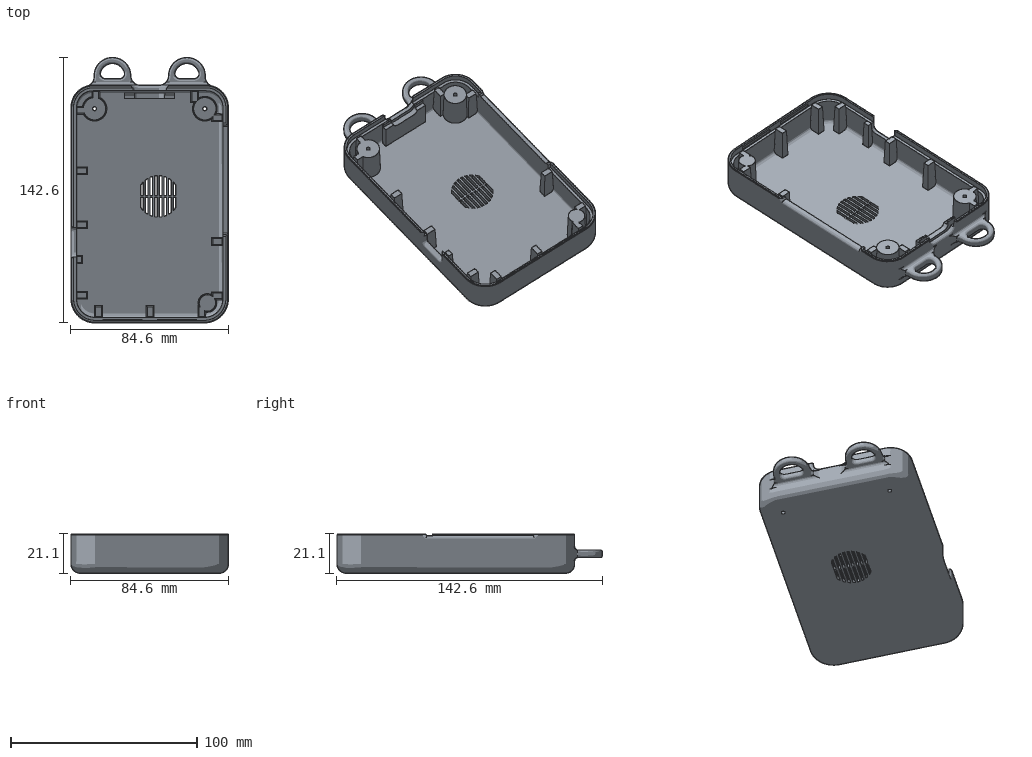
import cadquery as cq
import math

WIDTH = 84.6
LENGTH = 127.7
OVERALL_LENGTH = 142.59
HEIGHT = 21.1
FRONT_CORNER_RADIUS = 13.0
BACK_CORNER_RADIUS = 12.0
BOTTOM_RADIUS = 5.0
WALL = 3.0
FLOOR = 3.0
LIP_THICKNESS = 1.4
LIP_HEIGHT = 3.4
RIM_CHAMFER = 0.4
LEDGE_Z = HEIGHT - LIP_HEIGHT
INNER_X = WIDTH / 2 - WALL
INNER_Y = LENGTH / 2 - WALL
OVERCUT = 5.0
SELECT_MARGIN = 0.1

FLARE = 1.7
PORT_WIDTH = 15.9
PORT_Y = -20.5
PORT_DEPTH = 8.6
PORT_CORNER_RADIUS = 2.3
NOTCH_Y_MIN = -15.5
NOTCH_Y_MAX = 41.6
NOTCH_DEPTH = 0.9
NOTCH_BLOCK_MARGIN = 2.0
TROUGH_FLAT = 10.3
TROUGH_Z = 15.5
WALL_TROUGH_RADIUS = 4.4
PANEL_TROUGH_RADIUS = 3.0

PANEL_WIDTH = 26.9
PANEL_Y_FRONT = 56.6
PANEL_THICKNESS = 3.0
PANEL_BACK_THICKNESS = 0.9

DRAFT_ANGLE = 2.0
RIB_WIDTH = 4.2
RIB_ROOT = 0.2
SIDE_RIB_LENGTH = 6.0
SHORT_RIB_LENGTH = 3.3
END_RIB_LENGTH = 6.3
SUPPORT_Z = HEIGHT - 1.3
LOW_RIB_TOP = LEDGE_Z + 0.4
LEFT_RIBS_Y = (50.3, 17.9, -49.0)
LEFT_LOW_RIB_Y = -11.1
LEFT_SHORT_RIB_Y = -29.7
RIGHT_RIBS_Y = (46.4, -20.1, -49.3)
FRONT_RIBS_X = (-27.5, 0.2, 28.0)
BACK_RIBS_X = (-28.9, 24.1)
SCREW_BOSS_X = 29.6
SCREW_BOSS_Y = 51.2
SCREW_BOSS_RADIUS = 6.6
SCREW_HOLE_DIAMETER = 2.0
REST_BOSS_X = 31.0
REST_BOSS_Y = -53.1
REST_BOSS_RADIUS = 5.0

VENT_X = 4.6
VENT_Y = 4.15
VENT_RADIUS = 11.1
VENT_SLOTS = 8
VENT_PITCH = 2.5
VENT_SLOT_WIDTH = 1.25
VENT_BRIDGE = 1.1

SNAP_LENGTH = 21.0
SNAP_X = 14.6
SNAP_RADIUS = 0.9
SNAP_DEPTH = 2.1

LOOP_X = 20.0
LOOP_REACH = OVERALL_LENGTH - LENGTH
LOOP_RADIUS = 9.9
LOOP_THICKNESS = 4.2
LOOP_Z = 10.5
LOOP_EDGE_RADIUS = 1.3
LOOP_FLARE_RADIUS = 5.0
LOOP_ROOT_RADIUS = 1.6
LOOP_HOLE_RADIUS = 6.6
LOOP_BAR = 3.5
LOOP_HOLE_CORNER_RADIUS = 2.6


def box(x_min, x_max, y_min, y_max, z_min, z_max):
    size = (x_max - x_min, y_max - y_min, z_max - z_min)
    return cq.Workplane("XY").box(*size, centered=False).translate((x_min, y_min, z_min))


def rounded_block(inset, z_min, z_max):
    """Tray footprint moved inward by `inset`, with its own corner radii."""
    return (
        cq.Workplane("XY", origin=(0, 0, z_min))
        .rect(WIDTH - 2 * inset, LENGTH - 2 * inset)
        .extrude(z_max - z_min)
        .edges("|Z and <Y")
        .fillet(FRONT_CORNER_RADIUS - inset)
        .edges("|Z and >Y")
        .fillet(BACK_CORNER_RADIUS - inset)
    )


def make_shell():
    outside = rounded_block(0, 0, HEIGHT).faces("<Z").edges().fillet(BOTTOM_RADIUS)
    cavity = rounded_block(WALL, FLOOR, HEIGHT).faces("<Z").edges().fillet(BOTTOM_RADIUS - WALL)
    return outside.cut(cavity)


def cut_lip_rebate(body):
    """Thin the top of the wall to a lip, except along the notch."""
    rebate = rounded_block(LIP_THICKNESS, LEDGE_Z, HEIGHT)
    full_wall = box(
        INNER_X,
        WIDTH / 2,
        NOTCH_Y_MIN - NOTCH_BLOCK_MARGIN,
        NOTCH_Y_MAX + NOTCH_BLOCK_MARGIN,
        LEDGE_Z,
        HEIGHT,
    )
    return body.cut(rebate.cut(full_wall))


def chamfer_rim(body):
    """Bevel the outer edge of the rim by trimming to a bevelled block."""
    return body.intersect(rounded_block(0, 0, HEIGHT).faces(">Z").edges().chamfer(RIM_CHAMFER))


def round_over(body, corner_a, corner_b):
    """Round the outer edges of an opening lying between two corner points."""
    low = [min(pair) - SELECT_MARGIN for pair in zip(corner_a, corner_b)]
    high = [max(pair) + SELECT_MARGIN for pair in zip(corner_a, corner_b)]
    return body.edges(cq.selectors.BoxSelector(low, high)).fillet(FLARE)


def cut_port(body):
    """Round-cornered opening in the left wall."""
    face_x = -WIDTH / 2
    y_min = PORT_Y - PORT_WIDTH / 2
    y_max = PORT_Y + PORT_WIDTH / 2
    base_z = HEIGHT - PORT_DEPTH
    cutter = box(face_x - OVERCUT, -INNER_X, y_min, y_max, base_z, HEIGHT + OVERCUT)
    cutter = cutter.edges("|X and <Z").fillet(PORT_CORNER_RADIUS)
    return round_over(body.cut(cutter), (face_x, y_min, base_z), (face_x, y_max, HEIGHT - 2 * SELECT_MARGIN))


def cut_notch(body):
    """Long shallow notch with sloping ends in the top of the right wall."""
    face_x = WIDTH / 2
    base_z = HEIGHT - NOTCH_DEPTH
    end_run = NOTCH_DEPTH + OVERCUT
    cutter = (
        cq.Workplane("YZ", origin=(INNER_X, 0, 0))
        .moveTo(NOTCH_Y_MIN, base_z)
        .lineTo(NOTCH_Y_MAX, base_z)
        .lineTo(NOTCH_Y_MAX + end_run, HEIGHT + OVERCUT)
        .lineTo(NOTCH_Y_MIN - end_run, HEIGHT + OVERCUT)
        .close()
        .extrude(WALL + OVERCUT)
    )
    corner_low = (face_x, NOTCH_Y_MIN - NOTCH_DEPTH, base_z)
    corner_high = (face_x, NOTCH_Y_MAX + NOTCH_DEPTH, HEIGHT - 2 * SELECT_MARGIN)
    return round_over(body.cut(cutter), corner_low, corner_high)


def trough(radius, y_min, y_max):
    """Flat-bottomed channel along Y with quarter-round sides."""
    half = TROUGH_FLAT / 2 + radius
    shape = box(-half, half, y_min, y_max, TROUGH_Z, HEIGHT + OVERCUT)
    return shape.edges("|Y and <Z").fillet(radius)


def cut_back_trough(body):
    face_y = LENGTH / 2
    half = TROUGH_FLAT / 2 + WALL_TROUGH_RADIUS
    body = body.cut(trough(WALL_TROUGH_RADIUS, INNER_Y, face_y + OVERCUT))
    return round_over(body, (-half, face_y, TROUGH_Z), (half, face_y, HEIGHT - 2 * SELECT_MARGIN))


def make_panel():
    """Upright panel with a taller strip along its back and the trough cut through it."""
    half = PANEL_WIDTH / 2
    y_back = PANEL_Y_FRONT + PANEL_THICKNESS
    panel = box(-half, half, PANEL_Y_FRONT, y_back, FLOOR / 2, LEDGE_Z)
    back = box(-half, half, y_back - PANEL_BACK_THICKNESS, y_back, FLOOR / 2, SUPPORT_Z)
    return panel.union(back).cut(trough(PANEL_TROUGH_RADIUS, PANEL_Y_FRONT, y_back))


def make_rib(x, y, size_x, size_y, top):
    """Drafted rib standing on the floor, centred on (x, y)."""
    return (
        cq.Workplane("XY", origin=(x, y, FLOOR))
        .rect(size_x, size_y)
        .extrude(top - FLOOR, taper=DRAFT_ANGLE)
    )


def side_rib(side, y, length=SIDE_RIB_LENGTH, top=SUPPORT_Z):
    """Rib growing inward from the left (side = -1) or right (side = 1) wall."""
    x = side * (INNER_X + (RIB_ROOT - length) / 2)
    return make_rib(x, y, length + RIB_ROOT, RIB_WIDTH, top)


def end_rib(end, x):
    """Rib growing inward from the front (end = -1) or back (end = 1) wall."""
    y = end * (INNER_Y + (RIB_ROOT - END_RIB_LENGTH) / 2)
    return make_rib(x, y, RIB_WIDTH, END_RIB_LENGTH + RIB_ROOT, SUPPORT_Z)


def make_ribs():
    ribs = [side_rib(-1, y) for y in LEFT_RIBS_Y]
    ribs.append(side_rib(-1, LEFT_LOW_RIB_Y, top=LOW_RIB_TOP))
    ribs.append(side_rib(-1, LEFT_SHORT_RIB_Y, SHORT_RIB_LENGTH, LOW_RIB_TOP))
    ribs += [side_rib(1, y) for y in RIGHT_RIBS_Y]
    ribs += [end_rib(-1, x) for x in FRONT_RIBS_X]
    ribs += [end_rib(1, x) for x in BACK_RIBS_X]
    return ribs


def make_boss(x, y, radius):
    return (
        cq.Workplane("XY", origin=(x, y, FLOOR))
        .circle(radius)
        .extrude(SUPPORT_Z - FLOOR, taper=DRAFT_ANGLE)
    )


def cut_screw_holes(body):
    for side in (-1, 1):
        hole = (
            cq.Workplane("XY", origin=(side * SCREW_BOSS_X, SCREW_BOSS_Y, 0))
            .circle(SCREW_HOLE_DIAMETER / 2)
            .extrude(HEIGHT)
        )
        body = body.cut(hole)
    return body


def cut_vent(body):
    """Round grille of parallel slots, split by one bridge."""
    disc = cq.Workplane("XY", origin=(VENT_X, VENT_Y, 0)).circle(VENT_RADIUS).extrude(FLOOR)
    half_span = (VENT_SLOTS - 1) * VENT_PITCH / 2
    slots = cq.Workplane("XY")
    for index in range(VENT_SLOTS):
        x = VENT_X - half_span + index * VENT_PITCH
        half = VENT_SLOT_WIDTH / 2
        slots = slots.union(
            box(x - half, x + half, VENT_Y - VENT_RADIUS, VENT_Y + VENT_RADIUS, 0, FLOOR)
        )
    bridge = box(
        VENT_X - VENT_RADIUS,
        VENT_X + VENT_RADIUS,
        VENT_Y - VENT_BRIDGE / 2,
        VENT_Y + VENT_BRIDGE / 2,
        0,
        FLOOR,
    )
    return body.cut(disc.intersect(slots).cut(bridge))


def make_snap(side):
    """Rounded ridge on the inner face of the front lip."""
    y = -LENGTH / 2 + LIP_THICKNESS - SNAP_RADIUS / 2
    return (
        cq.Workplane("YZ", origin=(side * SNAP_X - SNAP_LENGTH / 2, y, HEIGHT - SNAP_DEPTH))
        .circle(SNAP_RADIUS)
        .extrude(SNAP_LENGTH)
    )


def toward(start, end, distance):
    """Point at `distance` from start on the way to end."""
    span = math.dist(start, end)
    return tuple(a + (b - a) * distance / span for a, b in zip(start, end))


def arc_middle(center, start, end, radius):
    """Middle of the shorter arc between two points of a circle."""
    chord_middle = tuple((a + b) / 2 for a, b in zip(start, end))
    return toward(center, chord_middle, radius)


def make_loop_outline():
    """Prism of the right-hand loop: a ring flared into the back wall and the corner."""
    center = (LOOP_X, LENGTH / 2 + LOOP_REACH - LOOP_RADIUS)
    corner = (WIDTH / 2 - BACK_CORNER_RADIUS, LENGTH / 2 - BACK_CORNER_RADIUS)
    ring_gap = LOOP_RADIUS + LOOP_FLARE_RADIUS

    wall_flare_y = LENGTH / 2 + LOOP_FLARE_RADIUS
    wall_flare = (LOOP_X - math.sqrt(ring_gap**2 - (wall_flare_y - center[1]) ** 2), wall_flare_y)
    wall_end = (wall_flare[0], LENGTH / 2)
    wall_start = toward(center, wall_flare, LOOP_RADIUS)

    corner_gap = BACK_CORNER_RADIUS + LOOP_FLARE_RADIUS
    span = math.dist(center, corner)
    along = (ring_gap**2 - corner_gap**2 + span**2) / (2 * span)
    across = math.sqrt(ring_gap**2 - along**2)
    step = ((corner[0] - center[0]) / span, (corner[1] - center[1]) / span)
    corner_flare = (
        center[0] + along * step[0] - across * step[1],
        center[1] + along * step[1] + across * step[0],
    )
    corner_start = toward(center, corner_flare, LOOP_RADIUS)
    corner_end = toward(corner, corner_flare, BACK_CORNER_RADIUS)

    root_y = LENGTH / 2 - WALL / 2
    return (
        cq.Workplane("XY")
        .moveTo(*wall_end)
        .threePointArc(arc_middle(wall_flare, wall_end, wall_start, LOOP_FLARE_RADIUS), wall_start)
        .threePointArc((LOOP_X, center[1] + LOOP_RADIUS), corner_start)
        .threePointArc(
            arc_middle(corner_flare, corner_start, corner_end, LOOP_FLARE_RADIUS), corner_end
        )
        .lineTo(corner_end[0], root_y)
        .lineTo(wall_end[0], root_y)
        .close()
        .extrude(HEIGHT)
    )


def make_loop_hole():
    """Round eye, cut off flat along the bar next to the wall."""
    hole = (
        cq.Workplane("XY", origin=(LOOP_X, LENGTH / 2 + LOOP_REACH - LOOP_RADIUS, 0))
        .circle(LOOP_HOLE_RADIUS)
        .extrude(HEIGHT)
    )
    hole = hole.cut(box(0, WIDTH / 2, 0, LENGTH / 2 + LOOP_BAR, 0, HEIGHT))
    return hole.edges("|Z and <Y").fillet(LOOP_HOLE_CORNER_RADIUS)


def make_loop_root():
    """Bar along the wall with a concave fillet above and below the loop."""
    wall_y = LENGTH / 2
    half_root = LOOP_THICKNESS / 2 + LOOP_ROOT_RADIUS
    root = box(
        0,
        WIDTH / 2,
        wall_y - WALL / 2,
        wall_y + LOOP_ROOT_RADIUS,
        LOOP_Z - half_root,
        LOOP_Z + half_root,
    )
    for side in (-1, 1):
        groove = (
            cq.Workplane("YZ", origin=(0, wall_y + LOOP_ROOT_RADIUS, LOOP_Z + side * half_root))
            .circle(LOOP_ROOT_RADIUS)
            .extrude(WIDTH / 2)
        )
        root = root.cut(groove)
    return root


def make_loop():
    outline = make_loop_outline()
    slab = box(0, WIDTH, 0, LENGTH, LOOP_Z - LOOP_THICKNESS / 2, LOOP_Z + LOOP_THICKNESS / 2)
    loop = outline.cut(make_loop_hole()).intersect(slab)
    outside_wall = cq.selectors.BoxSelector(
        (0, LENGTH / 2 + SELECT_MARGIN, 0), (WIDTH, LENGTH, HEIGHT)
    )
    loop = loop.faces("<Z or >Z").edges(outside_wall).fillet(LOOP_EDGE_RADIUS)
    return loop.union(make_loop_root().intersect(outline))


def build():
    body = cut_port(make_shell())
    body = cut_notch(body)
    body = cut_back_trough(body)
    body = chamfer_rim(cut_lip_rebate(body))
    loop = make_loop()
    body = body.union(loop).union(loop.mirror("YZ"))
    body = body.union(make_panel())
    for rib in make_ribs():
        body = body.union(rib)
    for side in (-1, 1):
        body = body.union(make_boss(side * SCREW_BOSS_X, SCREW_BOSS_Y, SCREW_BOSS_RADIUS))
        body = body.union(make_snap(side))
    body = body.union(make_boss(REST_BOSS_X, REST_BOSS_Y, REST_BOSS_RADIUS))
    body = cut_screw_holes(body)
    return cut_vent(body)


result = build()